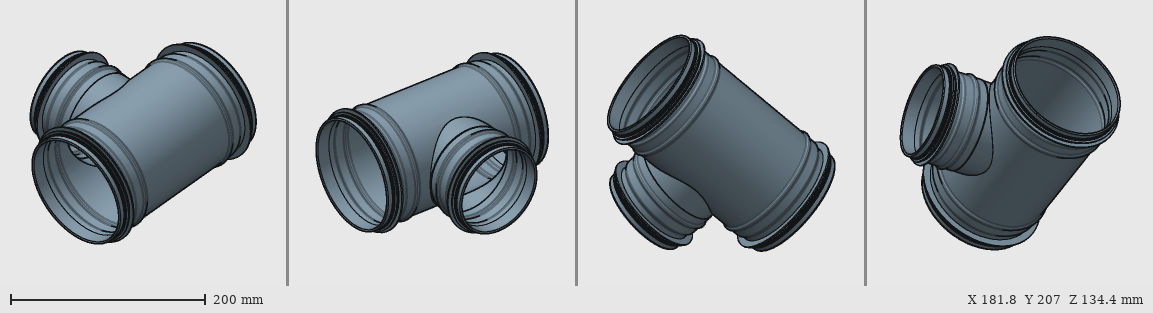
import cadquery as cq
import math

SHEET = 0.5
MAIN_RADIUS = 124.05 / 2
MAIN_LENGTH = 207.0
BRANCH_RADIUS = 99.05 / 2
BRANCH_REACH = 114.525
BRANCH_LENGTH = 51.3

HEM_DEPTH = 2.9
HEM_RADIUS = HEM_DEPTH / 2
HEM_LENGTH = 6.6
SEAT_DEPTH = HEM_DEPTH - SHEET
SHOULDER_START = 21.6
BEAD_CENTER = 38.8
BEAD_HEIGHT = 2.0

SLOPE = math.radians(40)
HOLLOW_RADIUS = 1.0
BULGE_RADIUS = 2.0


def s_bend_run(rise, first_radius, second_radius):
    """Axial length of an S-bend that changes the radius by rise."""
    return abs(rise) / math.tan(SLOPE) + (first_radius + second_radius) * math.tan(SLOPE / 2)


SHOULDER_END = SHOULDER_START + s_bend_run(SEAT_DEPTH, HOLLOW_RADIUS, BULGE_RADIUS)
BEAD_HALF_WIDTH = s_bend_run(BEAD_HEIGHT, HOLLOW_RADIUS, BULGE_RADIUS)

GASKET_START = HEM_RADIUS
FRONT_RIB = (8.0, 9.4, 0.65)
SEALING_LIP = (9.9, 11.5, 2.7)
BACK_RIB = (13.4, 14.2, 0.65)
FLANGE = (14.2, 15.7, 5.2)

COLLAR_RADIUS = BRANCH_RADIUS - SHEET
COLLAR_OVERLAP = 0.5
SPIGOT_INNER_END = BRANCH_REACH - BRANCH_LENGTH


def s_bend_points(start, rise, heading, first_radius, second_radius):
    """Points of an S-bend: first arc's middle and end, then second arc's start, middle and end.

    start is (axial place, radius); heading is +1 or -1 along the axis.
    """
    turn = math.copysign(1, rise)
    end = (start[0] + heading * s_bend_run(rise, first_radius, second_radius), start[1] + rise)

    def first_arc(angle):
        along = first_radius * math.sin(angle)
        across = first_radius * (1 - math.cos(angle))
        return (start[0] + heading * along, start[1] + turn * across)

    def second_arc(angle):
        along = second_radius * math.sin(angle)
        across = second_radius * (1 - math.cos(angle))
        return (end[0] - heading * along, end[1] - turn * across)

    return first_arc(SLOPE / 2), first_arc(SLOPE), second_arc(SLOPE), second_arc(SLOPE / 2), end


def shoulder(profile, start, rise, heading, first_radius, second_radius):
    """Draw to the start of the shoulder and along its S-bend."""
    first_middle, first_end, second_start, second_middle, end = s_bend_points(
        start, rise, heading, first_radius, second_radius
    )
    return (
        profile.lineTo(*start)
        .threePointArc(first_middle, first_end)
        .lineTo(*second_start)
        .threePointArc(second_middle, end)
    )


def bead(profile, radius, heading, hollow_radius, bulge_radius):
    """Draw to the bead on a surface of the given radius and over its single crest arc."""
    foot = (BEAD_CENTER - heading * BEAD_HALF_WIDTH, radius)
    hollow_middle, hollow_end, crest_start, _, crest = s_bend_points(
        foot, BEAD_HEIGHT, heading, hollow_radius, bulge_radius
    )

    def mirrored(point):
        return (2 * BEAD_CENTER - point[0], point[1])

    return (
        profile.lineTo(*foot)
        .threePointArc(hollow_middle, hollow_end)
        .lineTo(*crest_start)
        .threePointArc(crest, mirrored(crest_start))
        .lineTo(*mirrored(hollow_end))
        .threePointArc(mirrored(hollow_middle), mirrored(foot))
    )


def make_spigot(radius, length):
    """Hemmed and beaded sheet tube around X, with its open end at X = 0."""
    inside = radius - SHEET
    bore = radius - HEM_DEPTH
    seat = radius - SEAT_DEPTH
    hem_middle = radius - HEM_RADIUS
    hollow_inside = HOLLOW_RADIUS + SHEET
    bulge_inside = BULGE_RADIUS - SHEET

    profile = (
        cq.Workplane("XY")
        .moveTo(HEM_LENGTH, radius)
        .lineTo(HEM_RADIUS, radius)
        .threePointArc((0, hem_middle), (HEM_RADIUS, bore))
    )
    profile = shoulder(profile, (SHOULDER_START, bore), SEAT_DEPTH, 1, hollow_inside, bulge_inside)
    profile = bead(profile, inside, 1, hollow_inside, bulge_inside)
    profile = profile.lineTo(length, inside).lineTo(length, radius)

    profile = bead(profile, radius, -1, HOLLOW_RADIUS, BULGE_RADIUS)
    profile = shoulder(profile, (SHOULDER_END, radius), -SEAT_DEPTH, -1, BULGE_RADIUS, HOLLOW_RADIUS)
    profile = (
        profile.lineTo(HEM_RADIUS, seat)
        .threePointArc((SHEET, hem_middle), (HEM_RADIUS, inside))
        .lineTo(HEM_LENGTH, inside)
        .close()
    )
    return profile.revolve(360, (0, 0, 0), (1, 0, 0))


def ring(start, end, inner_radius, outer_radius):
    """Plain ring around X."""
    return (
        cq.Workplane("YZ", origin=(start, 0, 0))
        .circle(outer_radius)
        .circle(inner_radius)
        .extrude(end - start)
    )


def make_gasket(radius):
    """Gasket for a spigot of the given outer radius; its base is held under the hem."""
    seat = radius - SEAT_DEPTH
    gasket = ring(GASKET_START, FLANGE[1], seat, radius - SHEET)
    for start, end, height in (FRONT_RIB, SEALING_LIP, BACK_RIB, FLANGE):
        gasket = gasket.union(ring(start, end, seat, radius + height))
    return gasket


def place_on_main(body, side):
    """Turn a body around X so that its open end lies at one end of the main tube."""
    return body.rotate((0, 0, 0), (0, 0, 1), -90 * side).translate((0, side * MAIN_LENGTH / 2, 0))


def place_on_branch(body):
    return body.translate((-BRANCH_REACH, 0, 0))


def make_main_tube():
    """Two spigots joined at mid length, with the collar for the branch on the -X side."""
    half = make_spigot(MAIN_RADIUS, MAIN_LENGTH / 2)
    tube = place_on_main(half, 1).union(place_on_main(half, -1))

    collar_end = -(SPIGOT_INNER_END + COLLAR_OVERLAP)
    bore_radius = COLLAR_RADIUS - SHEET
    main_inside = (
        cq.Workplane("XZ").circle(MAIN_RADIUS - SHEET).extrude(COLLAR_RADIUS, both=True)
    )
    collar = ring(collar_end, 0, bore_radius, COLLAR_RADIUS).cut(main_inside)
    opening = cq.Workplane("YZ", origin=(collar_end, 0, 0)).circle(bore_radius).extrude(-collar_end)
    return tube.cut(opening).union(collar)


main_tube = make_main_tube()
branch_spigot = place_on_branch(make_spigot(BRANCH_RADIUS, BRANCH_LENGTH))
branch_gasket = place_on_branch(make_gasket(BRANCH_RADIUS))
main_gaskets = [place_on_main(make_gasket(MAIN_RADIUS), side) for side in (-1, 1)]

result = cq.Compound.makeCompound(
    [
        main_tube.val(),
        branch_spigot.val(),
        branch_gasket.val(),
        *[gasket.val() for gasket in main_gaskets],
    ]
)